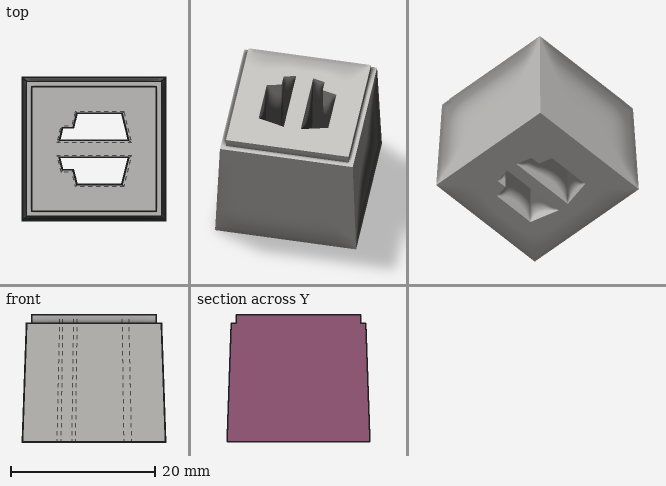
import cadquery as cq
import math

BASE_WIDTH = 19.91
BODY_HEIGHT = 16.5
BODY_DRAFT_ANGLE = 2.0

PLUG_WIDTH = 17.3
PLUG_HEIGHT = 1.2
TOTAL_HEIGHT = BODY_HEIGHT + PLUG_HEIGHT

WEB_WIDTH = 2.4
WINDOW_INNER_Y = WEB_WIDTH / 2
WINDOW_OUTER_Y = 4.92
WINDOW_INNER_HALF_LENGTH = 4.785
WINDOW_OUTER_HALF_LENGTH = 3.87

STEP_Y = 2.9
STEP_LENGTH = 1.5

WINDOW_DRAFT_ANGLE = 1.0
WINDOW_GROWTH = TOTAL_HEIGHT * math.tan(math.radians(WINDOW_DRAFT_ANGLE))


def tapered_body():
    """Square frustum that narrows from the base to the shoulder."""
    return cq.Workplane("XY").rect(BASE_WIDTH, BASE_WIDTH).extrude(BODY_HEIGHT, taper=BODY_DRAFT_ANGLE)


def top_plug():
    """Square plug standing on the shoulder."""
    return (
        cq.Workplane("XY", origin=(0, 0, BODY_HEIGHT))
        .rect(PLUG_WIDTH, PLUG_WIDTH)
        .extrude(PLUG_HEIGHT)
    )


def window_half_length(y):
    """Half length of the slanted trapezoid at distance y from the centre line."""
    length_change = WINDOW_OUTER_HALF_LENGTH - WINDOW_INNER_HALF_LENGTH
    slant = length_change / (WINDOW_OUTER_Y - WINDOW_INNER_Y)
    return WINDOW_INNER_HALF_LENGTH + slant * (y - WINDOW_INNER_Y)


def window_cutter():
    """Drafted through-cutter for the window on the +Y side of the web."""
    step_x = -window_half_length(STEP_Y)
    outline = [
        (-WINDOW_INNER_HALF_LENGTH, WINDOW_INNER_Y),
        (WINDOW_INNER_HALF_LENGTH, WINDOW_INNER_Y),
        (WINDOW_OUTER_HALF_LENGTH, WINDOW_OUTER_Y),
        (-WINDOW_OUTER_HALF_LENGTH + STEP_LENGTH, WINDOW_OUTER_Y),
        (step_x + STEP_LENGTH, STEP_Y),
        (step_x, STEP_Y),
    ]
    top_wire = cq.Workplane("XY", origin=(0, 0, TOTAL_HEIGHT)).polyline(outline).close().val()
    grown_wire = top_wire.offset2D(WINDOW_GROWTH, "intersection")[0]
    base_wire = grown_wire.translate(cq.Vector(0, 0, -TOTAL_HEIGHT))
    return cq.Workplane(cq.Solid.makeLoft([base_wire, top_wire], True))


window = window_cutter()
result = tapered_body().union(top_plug()).cut(window).cut(window.mirror("XZ"))